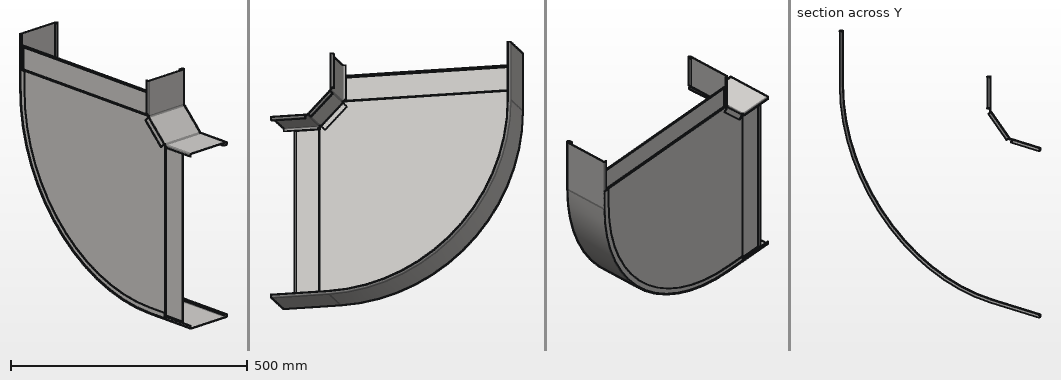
import cadquery as cq
import math


SIZE = 525.0
DEPTH = 107.0
SHEET = 1.3

FRONT_BEND = 1.85
REAR_BEND = 3.0
HEM_WIDTH = 7.5
HEM_RETURN = 10.0
NARROW_LIP = 7.0
WIDE_LIP = 14.5

ARC_RADIUS = 399.0
INNER_FACE = 396.0
CORNER_END = 445.0
CORNER_ANGLE = 45.0
CORNER_BEND = 2.5

FLOOR_GAP = 2.5
TONGUE_GAP = 1.5
TONGUE_END = 501.5
FLARE_LENGTH = 4.5
JOGGLE_LENGTH = 1.5


def wall_section(plane, lip_width):
    """Channel section: local x runs inward from the outer face, local y from front to rear."""
    front_inner = FRONT_BEND - SHEET
    rear_inner = REAR_BEND - SHEET
    hem_edge = DEPTH - HEM_RETURN
    return (
        cq.Workplane(plane)
        .moveTo(lip_width, 0)
        .lineTo(FRONT_BEND, 0)
        .radiusArc((0, FRONT_BEND), FRONT_BEND)
        .lineTo(0, DEPTH - REAR_BEND)
        .radiusArc((REAR_BEND, DEPTH), REAR_BEND)
        .lineTo(HEM_WIDTH - REAR_BEND, DEPTH)
        .radiusArc((HEM_WIDTH, DEPTH - REAR_BEND), REAR_BEND)
        .lineTo(HEM_WIDTH, hem_edge)
        .lineTo(HEM_WIDTH - SHEET, hem_edge)
        .lineTo(HEM_WIDTH - SHEET, DEPTH - REAR_BEND)
        .radiusArc((HEM_WIDTH - REAR_BEND, DEPTH - SHEET), -rear_inner)
        .lineTo(REAR_BEND, DEPTH - SHEET)
        .radiusArc((SHEET, DEPTH - REAR_BEND), -rear_inner)
        .lineTo(SHEET, FRONT_BEND)
        .radiusArc((FRONT_BEND, SHEET), -front_inner)
        .lineTo(lip_width, SHEET)
        .close()
    )


def path_plane(x, z, direction):
    """Plane across a wall that runs along direction, its local y pointing to +Y."""
    along = cq.Vector(*direction)
    inward = cq.Vector(0, 1, 0).cross(along)
    return cq.Plane(origin=(x, 0, z), xDir=inward, normal=along)


def straight_wall(start, end, lip_width):
    (x0, z0), (x1, z1) = start, end
    plane = path_plane(x0, z0, (x1 - x0, 0, z1 - z0))
    return wall_section(plane, lip_width).extrude(math.hypot(x1 - x0, z1 - z0))


def make_outer_wall():
    """Quarter-circle wall with a straight stretch at each end."""
    arc_plane = path_plane(0, ARC_RADIUS, (0, 0, 1))
    wall = wall_section(arc_plane, WIDE_LIP).revolve(90, (ARC_RADIUS, 0), (ARC_RADIUS, -1))
    lengths = ((ARC_RADIUS, CORNER_END, WIDE_LIP), (CORNER_END, SIZE, NARROW_LIP))
    for low, high, lip_width in lengths:
        wall = wall.union(straight_wall((0, low), (0, high), lip_width))
        wall = wall.union(straight_wall((high, 0), (low, 0), lip_width))
    return wall


def make_inner_wall():
    """Two flanges joined by a diagonal wall through 45-degree bends."""
    trim = CORNER_BEND * math.tan(math.radians(CORNER_ANGLE / 2))
    slant = trim / math.sqrt(2)
    flange_end = CORNER_END + trim
    upper = (INNER_FACE + slant, CORNER_END - slant)
    lower = (upper[1], upper[0])

    wall = straight_wall(upper, lower, WIDE_LIP)
    wall = wall.union(mitred_flange((INNER_FACE, SIZE), (INNER_FACE, flange_end), flange_end))
    wall = wall.union(mitred_flange((flange_end, INNER_FACE), (SIZE, INNER_FACE), flange_end))
    wall = wall.union(corner_web(path_plane(INNER_FACE, flange_end, (0, 0, -1))))
    return wall.union(corner_web(path_plane(*lower, (1, 0, -1))))


def mitred_flange(start, end, flange_end):
    """Inner-wall flange whose lip and hem are cut at 45 degrees next to the corner."""
    root = INNER_FACE - FRONT_BEND
    tip = root - HEM_WIDTH
    notch = [(root, flange_end), (tip, flange_end), (tip, flange_end + HEM_WIDTH)]
    if start[0] != end[0]:
        notch = [(z, x) for x, z in notch]
    cutter = cq.Workplane("XZ").polyline(notch).close().extrude(-DEPTH)
    return straight_wall(start, end, NARROW_LIP).cut(cutter)


def corner_web(plane):
    """Plain 45-degree bend that joins two stretches of the inner wall."""
    height = DEPTH - REAR_BEND - FRONT_BEND
    return (
        cq.Workplane(plane)
        .moveTo(0, FRONT_BEND)
        .rect(SHEET, height, centered=False)
        .revolve(CORNER_ANGLE, (-CORNER_BEND, 0), (-CORNER_BEND, -1))
    )


def make_floor():
    """Floor sheet behind the wide lips, with a connecting tongue at each open end."""
    edge_radius = ARC_RADIUS - FLOOR_GAP
    arc_middle = ARC_RADIUS - edge_radius / math.sqrt(2)
    diagonal_start = INNER_FACE - FLOOR_GAP * math.sqrt(2)
    floor = (
        cq.Workplane("XZ", origin=(0, SHEET, 0))
        .moveTo(FLOOR_GAP, CORNER_END)
        .lineTo(FLOOR_GAP, ARC_RADIUS)
        .threePointArc((arc_middle, arc_middle), (ARC_RADIUS, FLOOR_GAP))
        .lineTo(CORNER_END, FLOOR_GAP)
        .lineTo(CORNER_END, diagonal_start)
        .lineTo(diagonal_start, CORNER_END)
        .close()
        .extrude(-SHEET)
    )
    return floor.union(make_tongue("YZ")).union(make_tongue("YX"))


def make_tongue(plane_name):
    """Tongue set one sheet behind the floor, its end flared forward to the front plane."""
    near_side = NARROW_LIP + TONGUE_GAP
    far_side = INNER_FACE - near_side
    flare_start = TONGUE_END - FLARE_LENGTH
    flare_angle = math.atan2(2 * SHEET, FLARE_LENGTH)
    end_rise = SHEET * math.sin(flare_angle)
    end_depth = SHEET * math.cos(flare_angle)
    profile = [
        (SHEET, CORNER_END),
        (2 * SHEET, CORNER_END + JOGGLE_LENGTH),
        (2 * SHEET, flare_start),
        (0, TONGUE_END),
        (end_depth, TONGUE_END + end_rise),
        (3 * SHEET, flare_start + SHEET * math.tan(flare_angle / 2)),
        (3 * SHEET, CORNER_END + JOGGLE_LENGTH),
        (2 * SHEET, CORNER_END),
    ]
    across = 1 if plane_name == "YZ" else -1
    return (
        cq.Workplane(plane_name)
        .workplane(offset=across * near_side)
        .polyline(profile)
        .close()
        .extrude(across * (far_side - near_side))
    )


outer_wall = make_outer_wall()
inner_wall = make_inner_wall()
floor = make_floor()

result = cq.Compound.makeCompound([outer_wall.val(), inner_wall.val(), floor.val()])